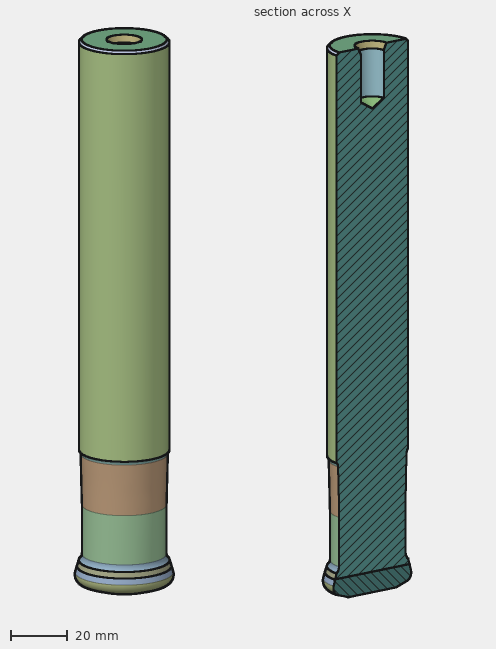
import cadquery as cq
import math

total_length = 200.0
shank_bottom = 50.0
neck_taper_bottom = 30.0
collar_blend_top = 12.0
split_height = 7.5

shank_radius = 32.0 / 2
neck_taper_top_radius = 15.42
neck_radius = 29.94 / 2
rim_radius = 34.94 / 2
tip_flat_radius = 10.6

undercut_radius = 2.0

blend_radius = 3.0
blend_angle = math.radians(50)

nose_radius = 3.0
face_cone_angle = math.radians(18)

top_chamfer = 1.0
hole_radius = 10.0 / 2
hole_lead_in_radius = 6.25
hole_lead_in_depth = 2.5
hole_depth = 20.0
hole_point_height = 3.0


def point_on_arc(center, radius, angle):
    """Point (radius, height) at an angle measured up from the outward direction."""
    return (center[0] + radius * math.cos(angle), center[1] + radius * math.sin(angle))


def revolve_about_z(half_outline):
    """Close a half outline of (radius, height) points and turn it around Z."""
    return half_outline.close().revolve(360, (0, 0, 0), (0, 1, 0))


undercut_step = shank_radius - neck_taper_top_radius
undercut_angle = math.acos(1 - undercut_step / undercut_radius)
neck_taper_top = shank_bottom - undercut_radius * math.sin(undercut_angle)
undercut_center = (neck_taper_top_radius + undercut_radius, neck_taper_top)
undercut_middle = point_on_arc(undercut_center, undercut_radius, math.pi - undercut_angle / 2)

blend_center = (neck_radius + blend_radius, collar_blend_top)
blend_middle = point_on_arc(blend_center, blend_radius, math.pi + blend_angle / 2)
blend_end = point_on_arc(blend_center, blend_radius, math.pi + blend_angle)

nose_start_angle = face_cone_angle - math.pi / 2
nose_center_radius = rim_radius - nose_radius
nose_start_radius = nose_center_radius + nose_radius * math.cos(nose_start_angle)
nose_start_height = (nose_start_radius - tip_flat_radius) * math.tan(face_cone_angle)
nose_start = (nose_start_radius, nose_start_height)
nose_center = (nose_center_radius, nose_start_height - nose_radius * math.sin(nose_start_angle))

blend_outward = blend_end[0] - nose_center[0]
blend_upward = blend_end[1] - nose_center[1]
blend_distance = math.hypot(blend_outward, blend_upward)
collar_cone_angle = math.asin(nose_radius / blend_distance) - math.atan2(blend_outward, blend_upward)
nose_middle = point_on_arc(nose_center, nose_radius, (nose_start_angle + collar_cone_angle) / 2)
nose_end = point_on_arc(nose_center, nose_radius, collar_cone_angle)

split_radius = blend_end[0] + (blend_end[1] - split_height) * math.tan(collar_cone_angle)

holder = revolve_about_z(
    cq.Workplane("XZ")
    .moveTo(0, split_height)
    .lineTo(split_radius, split_height)
    .lineTo(*blend_end)
    .threePointArc(blend_middle, (neck_radius, collar_blend_top))
    .lineTo(neck_radius, neck_taper_bottom)
    .lineTo(neck_taper_top_radius, neck_taper_top)
    .threePointArc(undercut_middle, (shank_radius, shank_bottom))
    .lineTo(shank_radius, total_length - top_chamfer)
    .lineTo(shank_radius - top_chamfer, total_length)
    .lineTo(hole_lead_in_radius, total_length)
    .lineTo(hole_radius, total_length - hole_lead_in_depth)
    .lineTo(hole_radius, total_length - hole_depth)
    .lineTo(0, total_length - hole_depth - hole_point_height)
)

tip = revolve_about_z(
    cq.Workplane("XZ")
    .lineTo(tip_flat_radius, 0)
    .lineTo(*nose_start)
    .threePointArc(nose_middle, nose_end)
    .lineTo(split_radius, split_height)
    .lineTo(0, split_height)
)

result = cq.Compound.makeCompound([holder.val(), tip.val()])